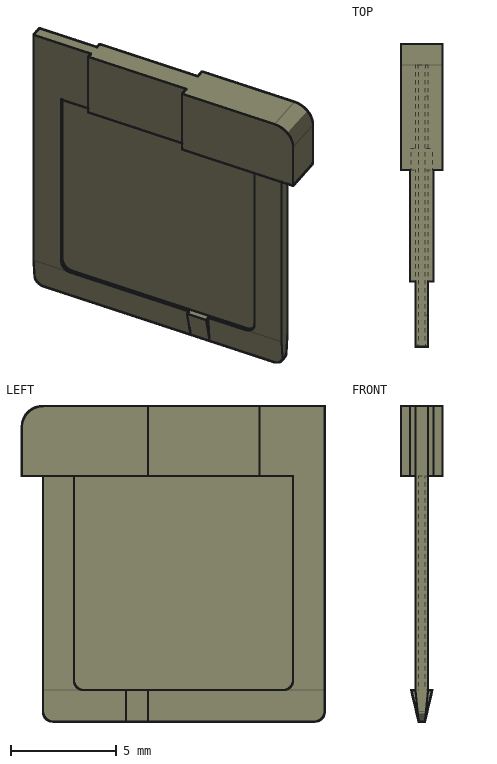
import cadquery as cq

height = 15.0
head_length = 14.4
plate_length = 13.4
plate_thickness = 0.6

head_height = 3.33
head_bottom = height - head_height
grip_thickness = 2.0
grip_start = 8.4
step_thickness = 1.14
step_start = 3.1
head_radius = 1.0

taper_height = 1.5
tip_thickness = 0.3
tip_radius = 0.5

recess_start = 1.5
recess_end = 11.92
recess_depth = 0.15
recess_radius = 0.5

catch_start = grip_start
catch_width = 1.04
catch_thickness = 1.0


def block(thickness, y_start, y_end, z_bottom, z_top):
    """Box centred on X = 0 between the given Y and Z limits."""
    return cq.Workplane("XY").box(
        thickness, y_end - y_start, z_top - z_bottom, centered=(True, False, False)
    ).translate((0, y_start, z_bottom))


def extrude_along_y(points, y_start, length):
    """Closed XZ outline extruded toward +Y."""
    return cq.Workplane("XZ", origin=(0, y_start, 0)).polyline(points).close().extrude(-length)


def make_plate():
    half_plate = plate_thickness / 2
    half_tip = tip_thickness / 2
    section = [
        (-half_tip, 0),
        (half_tip, 0),
        (half_plate, taper_height),
        (half_plate, height),
        (-half_plate, height),
        (-half_plate, taper_height),
    ]
    plate = extrude_along_y(section, 0, plate_length)
    side_outline = (
        block(plate_thickness, 0, plate_length, 0, height)
        .edges("|X and <Z")
        .fillet(tip_radius)
    )
    return plate.intersect(side_outline)


def make_head():
    grip = block(grip_thickness, grip_start, head_length, head_bottom, height)
    grip = grip.edges("|X and >Y and >Z").fillet(head_radius)
    step = block(step_thickness, step_start, grip_start, head_bottom, height)
    return grip.union(step)


def make_catch():
    half_top = catch_thickness / 2
    half_tip = tip_thickness / 2
    section = [
        (-half_tip, 0),
        (half_tip, 0),
        (half_top, taper_height),
        (-half_top, taper_height),
    ]
    return extrude_along_y(section, catch_start, catch_width)


def make_recess(side):
    """Recess cutter for the face on the given side of X = 0."""
    cutter = block(2 * recess_depth, recess_start, recess_end, taper_height, head_bottom)
    cutter = cutter.edges("|X and <Z").fillet(recess_radius)
    return cutter.translate((side * plate_thickness / 2, 0, 0))


result = make_plate()
for face_side in (-1, 1):
    result = result.cut(make_recess(face_side))
result = result.union(make_head()).union(make_catch())
result = result.translate((0, -head_length / 2, -height / 2))